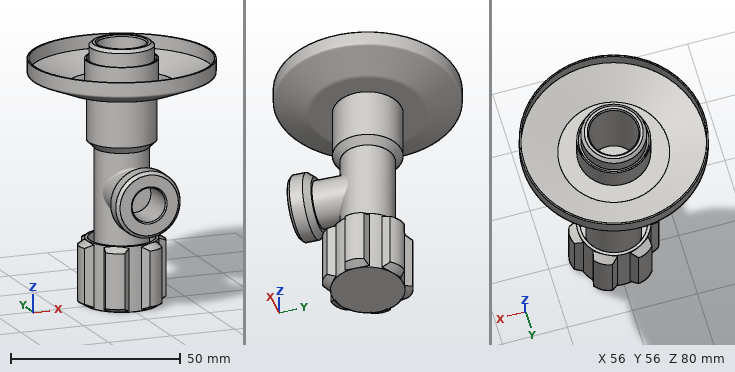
import cadquery as cq
import math

height = 80.0

knob_height = 20.2
knob_rib_count = 6
knob_root_radius = 11.0
knob_valley_width = 3.8
rib_width = 5.8
rib_edge_distance = 13.0
rib_crown_radius = 13.6
knob_bevel_height = 1.5
knob_recess_radius = 10.1
knob_recess_depth = 8.0

stem_radius = 8.2
collar_radius = 10.5
collar_bottom = 50.2
collar_top = 74.0
neck_radius = 9.8
neck_tip_radius = 8.7
neck_bevel_height = 1.0
neck_bore_radius = 7.4
neck_bore_depth = 24.0
bore_bevel = 0.4

outlet_z = 35.4
outlet_reach = 22.1
outlet_pipe_radius = 7.4
outlet_flange_radius = 10.2
outlet_flange_back_radius = 8.5
outlet_flange_start = 15.0
outlet_back_bevel_length = 2.1
outlet_front_bevel = 1.0
outlet_bore_radius = 5.3
outlet_bore_depth = 12.0
outlet_fillet = 0.6

rosette_radius = 28.0
rosette_top = 75.0
rosette_bottom = 66.2
rosette_rim_bottom = 70.4
rosette_flat_radius = 17.6
rosette_inner_flat_radius = 16.6
rosette_wall = 0.5
rosette_rim_fillet = 0.8
rosette_floor_fillet = 3.2
sleeve_outer_radius = 11.0


def revolved(points):
    """Revolve an (r, z) outline around the Z axis."""
    return cq.Workplane("XZ").polyline(points).close().revolve(360, (0, 0, 0), (0, 1, 0))


def make_rib():
    """One handwheel rib along +X, with flared flanks and a rounded crown bevelled at both ends."""
    half_valley = math.asin(knob_valley_width / 2 / knob_root_radius)
    half_root = math.pi / knob_rib_count - half_valley
    root_x = knob_root_radius * math.cos(half_root)
    root_y = knob_root_radius * math.sin(half_root)
    half_width = rib_width / 2
    return (
        cq.Workplane("XY")
        .moveTo(0, 0)
        .lineTo(root_x, -root_y)
        .lineTo(rib_edge_distance, -half_width)
        .threePointArc((rib_crown_radius, 0), (rib_edge_distance, half_width))
        .lineTo(root_x, root_y)
        .close()
        .extrude(knob_height)
        .edges("%CIRCLE")
        .chamfer(knob_bevel_height, rib_crown_radius - knob_root_radius)
    )


def make_knob():
    """Ribbed handwheel, recessed around the stem."""
    knob = cq.Workplane("XY").circle(knob_root_radius).extrude(knob_height)
    for index in range(knob_rib_count):
        knob = knob.union(make_rib().rotate((0, 0, 0), (0, 0, 1), index * 360 / knob_rib_count))
    recess = (
        cq.Workplane("XY")
        .workplane(offset=knob_height - knob_recess_depth)
        .circle(knob_recess_radius)
        .extrude(knob_recess_depth)
    )
    return knob.cut(recess)


def make_stem():
    """Solid stem with the wider collar and the bevelled inlet neck."""
    return revolved([
        (0, 0),
        (stem_radius, 0),
        (stem_radius, collar_bottom - (collar_radius - stem_radius)),
        (collar_radius, collar_bottom),
        (collar_radius, collar_top),
        (neck_radius, collar_top + collar_radius - neck_radius),
        (neck_radius, height - neck_bevel_height),
        (neck_tip_radius, height),
        (0, height),
    ])


def make_neck_bore():
    """Blind inlet bore with a bevelled mouth."""
    return revolved([
        (0, height - neck_bore_depth),
        (neck_bore_radius, height - neck_bore_depth),
        (neck_bore_radius, height - bore_bevel),
        (neck_bore_radius + bore_bevel, height),
        (0, height),
    ])


def along_outlet(shape):
    """Lay a shape built along +Z onto the outlet axis, which points to -Y."""
    return shape.rotate((0, 0, 0), (1, 0, 0), 90).translate((0, 0, outlet_z))


def make_outlet_flange():
    """End flange of the outlet, bevelled on both faces."""
    return along_outlet(revolved([
        (0, outlet_flange_start),
        (outlet_flange_back_radius, outlet_flange_start),
        (outlet_flange_radius, outlet_flange_start + outlet_back_bevel_length),
        (outlet_flange_radius, outlet_reach - outlet_front_bevel),
        (outlet_flange_radius - outlet_front_bevel, outlet_reach),
        (0, outlet_reach),
    ]))


def make_outlet_bore():
    """Blind outlet bore with a bevelled mouth."""
    return along_outlet(revolved([
        (0, outlet_reach - outlet_bore_depth),
        (outlet_bore_radius, outlet_reach - outlet_bore_depth),
        (outlet_bore_radius, outlet_reach - bore_bevel),
        (outlet_bore_radius + bore_bevel, outlet_reach),
        (0, outlet_reach),
    ]))


def make_valve():
    """Valve body: stem, filleted side outlet and handwheel, with both bores."""
    pipe = along_outlet(cq.Workplane("XY").circle(outlet_pipe_radius).extrude(outlet_flange_start))
    junction_zone = cq.selectors.BoxSelector(
        (-stem_radius, -stem_radius, outlet_z - outlet_pipe_radius),
        (stem_radius, 0, outlet_z + outlet_pipe_radius),
    )
    body = make_stem().union(pipe).edges(junction_zone).edges("not(#Z or |Z)").fillet(outlet_fillet)
    body = body.union(make_outlet_flange()).union(make_knob())
    return body.cut(make_neck_bore()).cut(make_outlet_bore())


def make_rosette():
    """Thin dished wall cover with a straight rim and a sleeve around the collar."""
    floor_top = rosette_bottom + rosette_wall
    dish = revolved([
        (collar_radius, rosette_bottom),
        (rosette_flat_radius, rosette_bottom),
        (rosette_radius, rosette_rim_bottom),
        (rosette_radius, rosette_top),
        (rosette_radius - rosette_wall, rosette_top),
        (rosette_radius - rosette_wall, rosette_rim_bottom + rosette_wall),
        (rosette_inner_flat_radius, floor_top),
        (sleeve_outer_radius, floor_top),
        (sleeve_outer_radius, rosette_top),
        (collar_radius, rosette_top),
    ])
    outermost = cq.selectors.RadiusNthSelector(-1)
    lower_zone = cq.selectors.BoxSelector(
        (-2 * rosette_radius, -2 * rosette_radius, rosette_bottom - rosette_wall / 2),
        (2 * rosette_radius, 2 * rosette_radius, rosette_rim_bottom + rosette_wall / 2),
        boundingbox=True,
    )
    dish = dish.edges(lower_zone).edges("%CIRCLE").edges(outermost).fillet(rosette_rim_fillet)
    return dish.faces("<Z").edges(outermost).fillet(rosette_floor_fillet)


valve = make_valve()
rosette = make_rosette()
result = cq.Compound.makeCompound([valve.val(), rosette.val()])